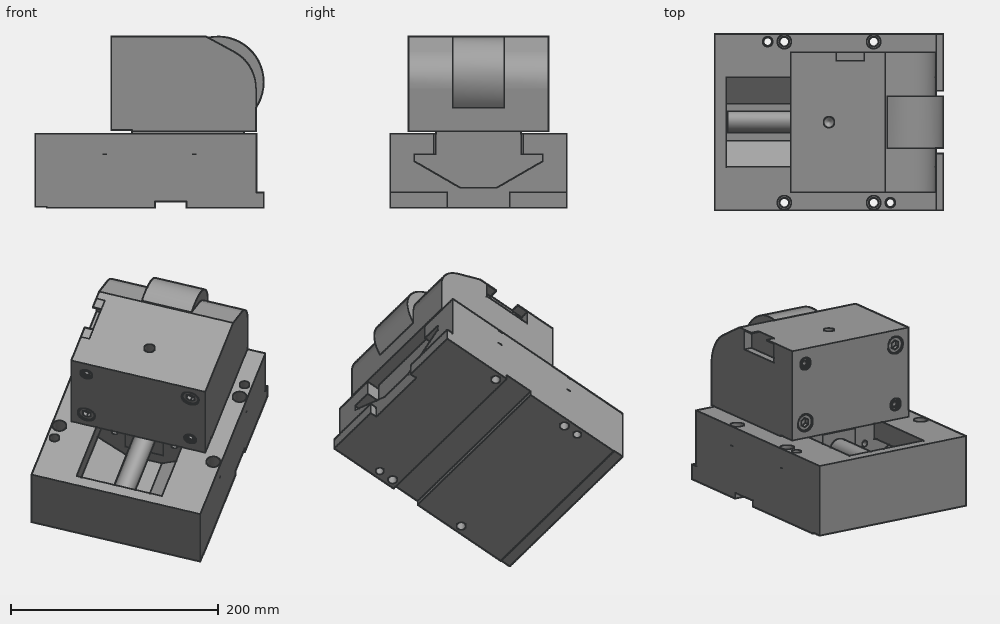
import cadquery as cq
import math


BASE_LENGTH = 213.0
BASE_WIDTH = 170.0
BASE_HEIGHT = 71.5
END_WALL = 11.0
END_WALL_LIFT = 1.0
LEDGE_LENGTH = 7.0
LEDGE_HEIGHT = 15.0
LEDGE_GAP = 60.0
KEYWAY_START = 115.5
KEYWAY_WIDTH = 30.0
KEYWAY_DEPTH = 6.0

SLOT_OPENING = 86.0
SLOT_FULL_WIDTH = 124.0
SLOT_FLOOR_WIDTH = 35.6
SLOT_FLOOR = 19.5
SLOT_FLANK_ANGLE = 30.0
LIP_THICKNESS = 20.0
LIP_UNDERSIDE = BASE_HEIGHT - LIP_THICKNESS
FLANK_RUN = (SLOT_FULL_WIDTH - SLOT_FLOOR_WIDTH) / 2
FLANK_TOP = SLOT_FLOOR + FLANK_RUN * math.tan(math.radians(SLOT_FLANK_ANGLE))

HOLE_CENTRE_X = 110.0
HOLE_ROW_Y = 77.5
SCREW_SPACING = 86.0
SCREW_HOLE = 9.0
SCREW_COUNTERBORE = 13.5
SCREW_COUNTERBORE_DEPTH = 20.0
DOWEL_SPACING = 118.0
DOWEL_HOLE = 9.5
DOWEL_EXIT_HOLE = 8.0
DOWEL_DEPTH = 20.0

HEAD_START = 73.0
HEAD_END = 212.5
HEAD_WIDTH = 135.0
HEAD_BOTTOM = 73.75
HEAD_TOP = 165.0
FACE_PLATE = 20.0
FACE_PLATE_LIFT = 1.0
SLOPE_START = 164.25
SLOPE_ANGLE = 28.5
NOSE_RADIUS = 40.0

LOBE_RADIUS = 44.0
LOBE_WIDTH = 50.0
LOBE_CENTRE_X = BASE_LENGTH + LEDGE_LENGTH - LOBE_RADIUS
LOBE_CENTRE_Z = 121.01

TONGUE_START = HEAD_START + FACE_PLATE
TONGUE_LENGTH = 108.0
NECK_WIDTH = 82.0
TONGUE_HOLE = 6.0
TONGUE_HOLE_DEPTH = 15.0
TONGUE_HOLE_SPACING = 60.0

OIL_HOLE = 10.5
OIL_HOLE_DEPTH = 20.0
DRILL_POINT_ANGLE = 118.0
NOTCH_START = 117.0
NOTCH_LENGTH = 26.75
NOTCH_DEPTH = 8.5
SIDE_POCKET_MARGIN = 12.0
SIDE_POCKET_HEIGHT = 20.0
TOP_SKIN = 1.0

FASTENER_Y = 52.3
FASTENER_LOW_Z = 90.0
FASTENER_HIGH_Z = 149.75
CAP_RECESS = 17.5
CAP_RECESS_DEPTH = 10.0
CAP_HEAD = 17.0
CAP_CHAMFER = 0.75
CAP_SINK = 1.0
HEX_ACROSS_FLATS = 8.0
HEX_DEPTH = 5.0
PIN_RECESS = 12.5
PIN_FACE = 10.25
PIN_SINK = (PIN_RECESS - PIN_FACE) / 2
PIN_THREAD = 5.0
PIN_THREAD_MOUTH = 6.5
PIN_THREAD_DEPTH = 10.0

ROD_DIAMETER = 20.75
ROD_CHAMFER = 1.4
ROD_Z = 49.0
NUT_WIDTH = 38.0
NUT_BOTTOM = 31.5
NUT_LENGTH = 40.0


def block(x0, x1, width, z0, z1):
    """Box between two X and two Z values, centred on Y = 0."""
    box = cq.Workplane("XY").box(x1 - x0, width, z1 - z0, centered=(False, True, False))
    return box.translate((x0, 0, z0))


def disc(diameter, depth, x, y, z):
    """Cylinder along +X that starts at the given point."""
    return cq.Workplane("YZ", origin=(x, y, z)).circle(diameter / 2).extrude(depth)


def drill_point(diameter):
    """Length of a drill's conical point."""
    return diameter / 2 / math.tan(math.radians(DRILL_POINT_ANGLE / 2))


def guide_profile(x, opening, top):
    """Cross-section shared by the guide slot and the tongue that fills it below the lips."""
    half = [
        (opening / 2, top),
        (opening / 2, LIP_UNDERSIDE),
        (SLOT_FULL_WIDTH / 2, LIP_UNDERSIDE),
        (SLOT_FULL_WIDTH / 2, FLANK_TOP),
        (SLOT_FLOOR_WIDTH / 2, SLOT_FLOOR),
    ]
    mirrored = [(-y, z) for y, z in reversed(half)]
    return cq.Workplane("YZ", origin=(x, 0, 0)).polyline(half + mirrored).close()


def mounting_hole(x, y, top_diameter, top_depth, through_diameter):
    """Stepped vertical hole through the base."""
    top = cq.Workplane("XY", origin=(x, y, BASE_HEIGHT))
    wide = top.circle(top_diameter / 2).extrude(-top_depth)
    return wide.union(top.circle(through_diameter / 2).extrude(-BASE_HEIGHT))


def make_base():
    """Base with the guide slot, the end ledge, the keyway and the mounting holes."""
    body = block(0, BASE_LENGTH, BASE_WIDTH, 0, BASE_HEIGHT)
    ledge_end = BASE_LENGTH + LEDGE_LENGTH
    body = body.union(block(BASE_LENGTH, ledge_end, BASE_WIDTH, 0, LEDGE_HEIGHT))
    body = body.cut(block(BASE_LENGTH, ledge_end, LEDGE_GAP, 0, LEDGE_HEIGHT))
    body = body.cut(block(0, END_WALL, BASE_WIDTH, 0, END_WALL_LIFT))
    body = body.cut(block(KEYWAY_START, KEYWAY_START + KEYWAY_WIDTH, BASE_WIDTH, 0, KEYWAY_DEPTH))
    body = body.cut(guide_profile(END_WALL, SLOT_OPENING, BASE_HEIGHT).extrude(BASE_LENGTH - END_WALL))
    for side in (-1, 1):
        y = side * HOLE_ROW_Y
        for end in (-1, 1):
            x = HOLE_CENTRE_X + end * SCREW_SPACING / 2
            body = body.cut(mounting_hole(x, y, SCREW_COUNTERBORE, SCREW_COUNTERBORE_DEPTH, SCREW_HOLE))
        x = HOLE_CENTRE_X - side * DOWEL_SPACING / 2
        body = body.cut(mounting_hole(x, y, DOWEL_HOLE, DOWEL_DEPTH, DOWEL_EXIT_HOLE))
    return body


def make_head():
    """Head block with a sloped top corner that runs tangentially into the round nose."""
    angle = math.radians(SLOPE_ANGLE)
    tangent_x = HEAD_END - NOSE_RADIUS * (1 - math.sin(angle))
    tangent_z = HEAD_TOP - (tangent_x - SLOPE_START) * math.tan(angle)
    nose_z = tangent_z - NOSE_RADIUS * math.cos(angle)
    profile = (
        cq.Workplane("XZ", origin=(0, HEAD_WIDTH / 2, 0))
        .moveTo(HEAD_START, HEAD_BOTTOM + FACE_PLATE_LIFT)
        .lineTo(HEAD_START, HEAD_TOP)
        .lineTo(SLOPE_START, HEAD_TOP)
        .lineTo(tangent_x, tangent_z)
        .tangentArcPoint((HEAD_END, nose_z), relative=False)
        .lineTo(HEAD_END, HEAD_BOTTOM)
        .lineTo(TONGUE_START, HEAD_BOTTOM)
        .lineTo(TONGUE_START, HEAD_BOTTOM + FACE_PLATE_LIFT)
        .close()
    )
    lobe = cq.Workplane("XZ", origin=(LOBE_CENTRE_X, LOBE_WIDTH / 2, LOBE_CENTRE_Z))
    return profile.extrude(HEAD_WIDTH).union(lobe.circle(LOBE_RADIUS).extrude(LOBE_WIDTH))


def oil_hole():
    """Blind hole with a conical bottom in the top of the head."""
    top = cq.Workplane("XY", origin=(HOLE_CENTRE_X, 0, HEAD_TOP))
    hole = top.circle(OIL_HOLE / 2).extrude(-OIL_HOLE_DEPTH)
    point = cq.Solid.makeCone(
        OIL_HOLE / 2, 0, drill_point(OIL_HOLE),
        pnt=cq.Vector(HOLE_CENTRE_X, 0, HEAD_TOP - OIL_HOLE_DEPTH), dir=cq.Vector(0, 0, -1),
    )
    return hole.union(cq.Workplane(point))


def side_opening():
    """Shallow pocket in the +Y side, under a thin top skin that has a notch in it."""
    y = HEAD_WIDTH / 2 - NOTCH_DEPTH
    floor = HEAD_TOP - SIDE_POCKET_HEIGHT
    notch = cq.Workplane("XY").box(NOTCH_LENGTH, NOTCH_DEPTH, SIDE_POCKET_HEIGHT, centered=False)
    notch = notch.translate((NOTCH_START, y, floor))
    pocket_length = NOTCH_LENGTH + 2 * SIDE_POCKET_MARGIN
    pocket_height = SIDE_POCKET_HEIGHT - TOP_SKIN
    pocket = cq.Workplane("XY").box(pocket_length, NOTCH_DEPTH, pocket_height, centered=False)
    pocket = pocket.translate((NOTCH_START - SIDE_POCKET_MARGIN, y, floor))
    return notch.union(pocket)


def cap_screw_cut(y, z):
    """Counterbore around a sunken cap screw head with a hexagon socket."""
    cap_face = HEAD_START + CAP_SINK
    cap = disc(CAP_HEAD, CAP_RECESS_DEPTH - CAP_SINK, cap_face, y, z)
    cap = cap.faces("<X").chamfer(CAP_CHAMFER)
    corner_diameter = HEX_ACROSS_FLATS / math.cos(math.pi / 6)
    socket = (
        cq.Workplane("YZ", origin=(cap_face, y, z))
        .transformed(rotate=(0, 0, 90))
        .polygon(6, corner_diameter)
        .extrude(HEX_DEPTH)
    )
    return disc(CAP_RECESS, CAP_RECESS_DEPTH, HEAD_START, y, z).cut(cap).union(socket)


def pin_cut(y, z):
    """Conical recess down to a dowel pin's flat face, with a threaded pull-out hole in the middle."""
    thread_start = PIN_SINK + (PIN_THREAD_MOUTH - PIN_THREAD) / 2
    thread_end = PIN_SINK + PIN_THREAD_DEPTH
    half_section = [
        (0, 0),
        (0, PIN_RECESS / 2),
        (PIN_SINK, PIN_FACE / 2),
        (PIN_SINK, PIN_THREAD_MOUTH / 2),
        (thread_start, PIN_THREAD / 2),
        (thread_end, PIN_THREAD / 2),
        (thread_end + drill_point(PIN_THREAD), 0),
    ]
    section = cq.Workplane("XY", origin=(HEAD_START, y, z)).polyline(half_section).close()
    return section.revolve(360, (0, 0, 0), (1, 0, 0))


def make_rod():
    """Round rod from the base's end wall, ending in a square nut held by the tongue."""
    rod = disc(ROD_DIAMETER, TONGUE_START - END_WALL, END_WALL, 0, ROD_Z)
    rod = rod.faces("<X").chamfer(ROD_CHAMFER)
    nut_top = 2 * ROD_Z - NUT_BOTTOM
    return rod.union(block(TONGUE_START, TONGUE_START + NUT_LENGTH, NUT_WIDTH, NUT_BOTTOM, nut_top))


def make_slide(rod_body):
    """Head and tongue in one piece, with a seat for the rod's nut."""
    body = make_head()
    body = body.union(guide_profile(TONGUE_START, NECK_WIDTH, HEAD_BOTTOM).extrude(TONGUE_LENGTH))
    body = body.cut(oil_hole())
    body = body.cut(side_opening())
    for side in (-1, 1):
        y = side * TONGUE_HOLE_SPACING / 2
        body = body.cut(disc(TONGUE_HOLE, TONGUE_HOLE_DEPTH, TONGUE_START, y, ROD_Z))
    for y, z in ((-FASTENER_Y, FASTENER_HIGH_Z), (FASTENER_Y, FASTENER_LOW_Z)):
        body = body.cut(cap_screw_cut(y, z))
    for y, z in ((FASTENER_Y, FASTENER_HIGH_Z), (-FASTENER_Y, FASTENER_LOW_Z)):
        body = body.cut(pin_cut(y, z))
    return body.cut(rod_body)


base = make_base()
rod = make_rod()
slide = make_slide(rod)

result = cq.Compound.makeCompound([body.solids().val() for body in (base, slide, rod)])